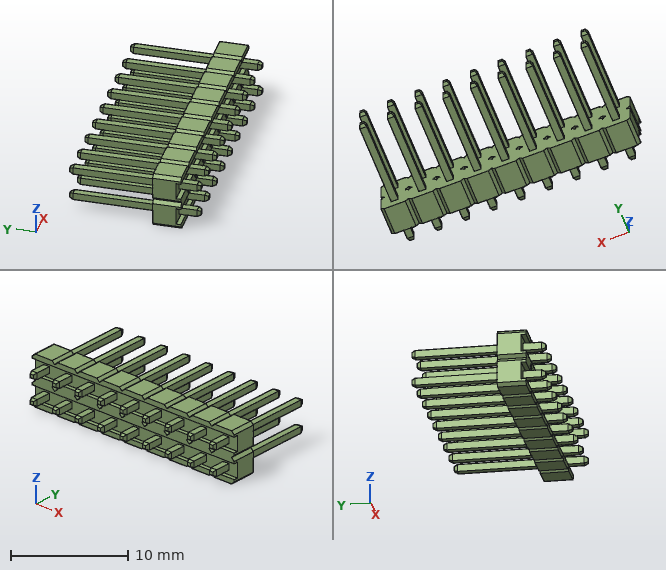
import cadquery as cq


columns = 9
rows = 2
length = 22.85
pitch = length / columns
height = rows * pitch

body_depth = 2.5
corner_chamfer = 0.3
groove_height = 1.5
groove_depth = 0.41

pin_width = 0.65
short_end = 1.5
pin_length = 11.6
tip_length = 0.32
tip_width = 0.37


def grid_centers(count):
    """Cell centers of `count` cells, symmetric about zero."""
    return [(i - (count - 1) / 2) * pitch for i in range(count)]


def make_body():
    """Block with V notches wherever cell corners meet and a groove along each row."""
    body = cq.Workplane("XY").box(length, body_depth, height).translate((0, body_depth / 2, 0))

    corners = [(x, z) for x in grid_centers(columns + 1) for z in grid_centers(rows + 1)]
    notches = (
        cq.Workplane("XZ")
        .pushPoints(corners)
        .polygon(4, 2 * corner_chamfer)
        .extrude(-body_depth)
    )
    row_centers = [(0, z) for z in grid_centers(rows)]
    grooves = (
        cq.Workplane("XZ")
        .pushPoints(row_centers)
        .rect(length, groove_height)
        .extrude(-groove_depth)
    )
    return body.cut(notches).cut(grooves)


def make_pin():
    """Square pin on the Y axis, tapered at both ends."""
    shank_length = pin_length - 2 * tip_length
    shank_start = tip_length - short_end
    pin = (
        cq.Workplane("XZ", origin=(0, shank_start, 0))
        .rect(pin_width, pin_width)
        .extrude(-shank_length)
    )
    for base, direction in ((shank_start, 1), (shank_start + shank_length, -1)):
        tip = (
            cq.Workplane("XZ", origin=(0, base, 0))
            .rect(pin_width, pin_width)
            .workplane(offset=direction * tip_length)
            .rect(tip_width, tip_width)
            .loft(ruled=True)
        )
        pin = pin.union(tip)
    return pin


result = make_body()
pin = make_pin()
for x in grid_centers(columns):
    for z in grid_centers(rows):
        result = result.union(pin.translate((x, 0, z)))